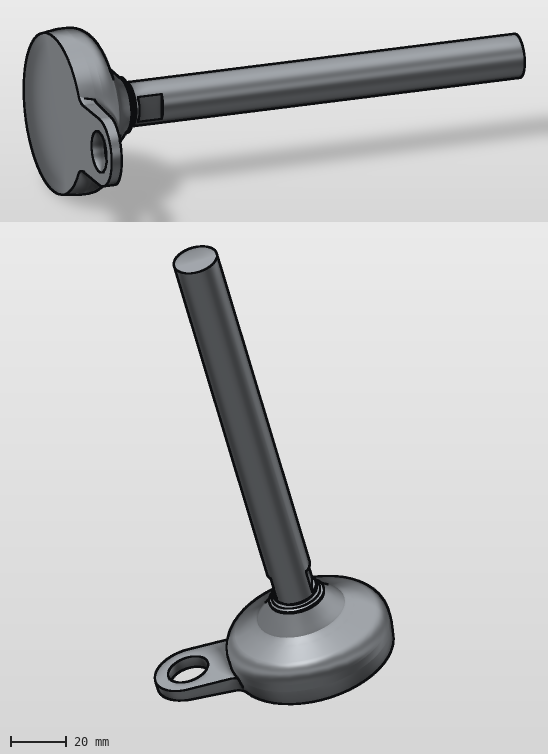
import cadquery as cq
import math

total_length = 178.0

pad_diameter = 60.0
pad_radius = pad_diameter / 2
base_radius = 29.2
taper_height = 6.0
wall_height = 9.0
shoulder_arc_radius = 7.1
shoulder_radius = 25.5
cone_radius = 16.2
cone_height = 20.0
collar_radius = 10.0
collar_height = 26.2
lip_radius = 10.1
lip_height = 26.9
rim_radius = 8.9
pad_height = 27.6

lug_radius = 12.5
total_width = 88.0
lug_reach = total_width - pad_radius
lug_center_x = lug_reach - lug_radius
lug_hole_diameter = 15.0
lug_root_height = 5.5
lug_tip_height = 4.0
lug_fillet = 5.3

spindle_radius = 8.0
spindle_start = 28.3
spindle_chamfer = 0.5
neck_radius = 6.8
socket_floor = cone_height
flat_width = 13.0
flat_start = 30.0
flat_end = 39.2


def turn(profile):
    """Revolve a closed radius-height profile about the Y axis."""
    return profile.close().revolve(360, (0, 0, 0), (0, 1, 0))


def make_lug():
    """Lug plate with a rounded end, blended into the base disc and thinning to its tip."""
    disc = cq.Workplane("XZ").circle(base_radius).extrude(-lug_root_height)
    bar = (
        cq.Workplane("XZ")
        .moveTo(0, -lug_radius)
        .lineTo(lug_center_x, -lug_radius)
        .threePointArc((lug_reach, 0), (lug_center_x, lug_radius))
        .lineTo(0, lug_radius)
        .close()
        .extrude(-lug_root_height)
    )
    corner_x = math.sqrt(base_radius**2 - lug_radius**2)
    plate = disc.union(bar)
    for side in (-1, 1):
        corner = (corner_x, lug_root_height / 2, side * lug_radius)
        plate = plate.edges(cq.selectors.NearestToPointSelector(corner)).fillet(lug_fillet)

    sloped_envelope = (
        cq.Workplane("XY")
        .polyline([
            (-pad_radius, 0),
            (lug_reach, 0),
            (lug_reach, lug_tip_height),
            (base_radius, lug_root_height),
            (-pad_radius, lug_root_height),
        ])
        .close()
        .extrude(pad_radius, both=True)
    )
    hole = (
        cq.Workplane("XZ")
        .center(lug_center_x, 0)
        .circle(lug_hole_diameter / 2)
        .extrude(-lug_root_height)
    )
    return plate.intersect(sloped_envelope).cut(hole)


def make_pad():
    """Bell-shaped pad with its lug and a blind socket for the spindle neck."""
    arc_center_x = pad_radius - shoulder_arc_radius
    end_angle = math.acos((shoulder_radius - arc_center_x) / shoulder_arc_radius)
    shoulder_height = wall_height + shoulder_arc_radius * math.sin(end_angle)
    profile = (
        cq.Workplane("XY")
        .lineTo(base_radius, 0)
        .lineTo(pad_radius, taper_height)
        .lineTo(pad_radius, wall_height)
        .tangentArcPoint((shoulder_radius, shoulder_height), relative=False)
        .tangentArcPoint((cone_radius, cone_height), relative=False)
        .lineTo(collar_radius, collar_height)
        .lineTo(lip_radius, lip_height)
        .lineTo(rim_radius, pad_height)
        .lineTo(0, pad_height)
    )
    socket = (
        cq.Workplane("XZ", origin=(0, socket_floor, 0))
        .circle(neck_radius)
        .extrude(socket_floor - pad_height)
    )
    return turn(profile).union(make_lug()).cut(socket)


def make_spindle():
    """Round rod with a reduced neck in the pad and two wrench flats facing +X and -X."""
    profile = (
        cq.Workplane("XY")
        .moveTo(0, socket_floor)
        .lineTo(neck_radius, socket_floor)
        .lineTo(neck_radius, spindle_start)
        .lineTo(spindle_radius - spindle_chamfer, spindle_start)
        .lineTo(spindle_radius, spindle_start + spindle_chamfer)
        .lineTo(spindle_radius, total_length)
        .lineTo(0, total_length)
    )
    spindle = turn(profile)
    flat_length = flat_end - flat_start
    for side in (-1, 1):
        cutter = cq.Workplane("XY").box(spindle_radius, flat_length, 2 * spindle_radius)
        cutter_x = side * (flat_width + spindle_radius) / 2
        spindle = spindle.cut(cutter.translate((cutter_x, flat_start + flat_length / 2, 0)))
    return spindle


pad = make_pad()
spindle = make_spindle()
result = cq.Compound.makeCompound([pad.val(), spindle.val()])